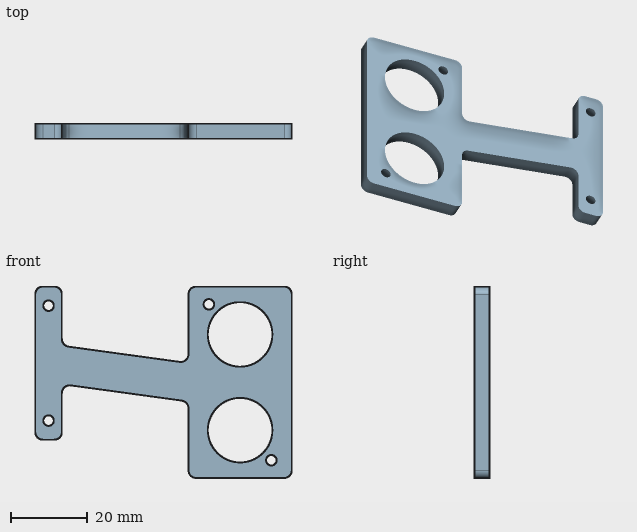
import cadquery as cq
import math

thickness = 4.0
corner_radius = 2.0

plate_width = 27.0
plate_height = 50.0
plate_left = 40.0
plate_center_x = plate_left + plate_width / 2
plate_center_z = plate_height / 2

bar_width = 7.0
bar_height = 40.0
bar_center_x = bar_width / 2
bar_center_z = plate_height - bar_height / 2

arm_width = 10.0
arm_slope = (plate_center_z - bar_center_z) / (plate_left - bar_center_x)
arm_height = arm_width * math.hypot(1, arm_slope)

window_diameter = 16.8
window_spacing = 25.0
screw_diameter = 2.7
bar_screw_spacing = 30.0
plate_screw_offset_x = 8.15
plate_screw_offset_z = 20.35


def arm_center_z(x):
    """Height of the arm's centre line at a given X."""
    return bar_center_z + arm_slope * (x - bar_center_x)


def make_body():
    """Bar, arm and plate as one outline with every corner rounded."""
    bar_bottom = plate_height - bar_height
    plate_right = plate_left + plate_width
    half_arm = arm_height / 2
    arm_start_z = arm_center_z(bar_width)
    arm_end_z = arm_center_z(plate_left)
    outline = [
        (0, bar_bottom),
        (bar_width, bar_bottom),
        (bar_width, arm_start_z - half_arm),
        (plate_left, arm_end_z - half_arm),
        (plate_left, 0),
        (plate_right, 0),
        (plate_right, plate_height),
        (plate_left, plate_height),
        (plate_left, arm_end_z + half_arm),
        (bar_width, arm_start_z + half_arm),
        (bar_width, plate_height),
        (0, plate_height),
    ]
    body = cq.Workplane("XZ").polyline(outline).close().extrude(-thickness)
    return body.edges("|Y").fillet(corner_radius)


def make_hole_cutters(centers, diameter):
    """Cylinders through the full thickness at the given (X, Z) centres."""
    return cq.Workplane("XZ").pushPoints(centers).circle(diameter / 2).extrude(-thickness)


window_centers = [(plate_center_x, plate_center_z + side * window_spacing / 2) for side in (-1, 1)]
bar_screw_centers = [(bar_center_x, bar_center_z + side * bar_screw_spacing / 2) for side in (-1, 1)]
plate_screw_centers = [
    (plate_center_x - side * plate_screw_offset_x, plate_center_z + side * plate_screw_offset_z)
    for side in (-1, 1)
]

result = (
    make_body()
    .cut(make_hole_cutters(window_centers, window_diameter))
    .cut(make_hole_cutters(bar_screw_centers + plate_screw_centers, screw_diameter))
)